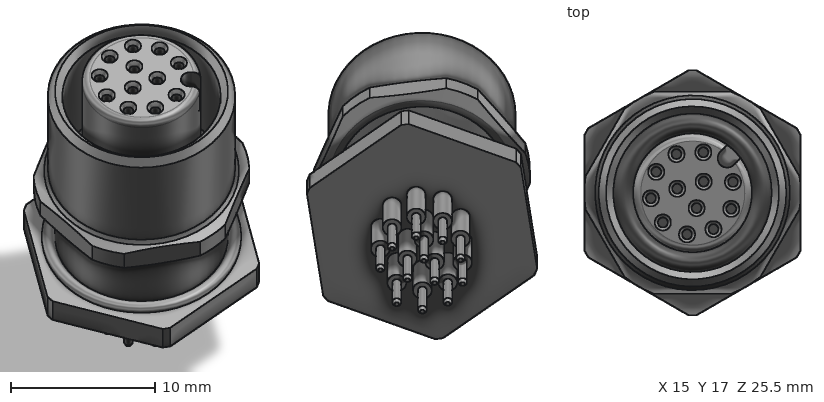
import cadquery as cq
import math

TIP_HEIGHT = 0.3
SLEEVE_BOTTOM = 3.14
FLANGE_BOTTOM = 6.35
FLANGE_TOP = 8.36
NUT_BOTTOM = 13.52
NUT_TOP = 15.48
SHELL_TOP = 24.0
INSERT_TOP = 25.5
BORE_BOTTOM = NUT_TOP

FLANGE_FLATS = 15.0
FLANGE_CORNERS = 17.0

NUT_FLATS = 14.0
NUT_CORNERS = FLANGE_FLATS
NUT_CHAMFER_ANGLE = 15.0
COLLAR_HEIGHT = 0.25

NECK_DIAMETER = 12.0
SHELL_DIAMETER = 13.0
BORE_DIAMETER = 11.0
FLANGE_SEAL_WIDTH = 0.92

INSERT_DIAMETER = 8.24
INSERT_FILLET = 0.5
KEYWAY_WIDTH = 1.3
KEYWAY_CENTER = 3.4
KEYWAY_DEPTH = 2.55
KEYWAY_ANGLE = 45.0

OUTER_ROW_RADIUS = 2.9
OUTER_ROW_COUNT = 9
OUTER_ROW_PITCH = 37.5
INNER_ROW_RADIUS = 1.1
INNER_ROW_COUNT = 3
SLEEVE_DIAMETER = 1.3
PIN_DIAMETER = 0.6
TIP_DIAMETER = 0.3
SOCKET_DIAMETER = 0.7
SOCKET_MOUTH_DIAMETER = 1.12
SOCKET_MOUTH_DEPTH = 0.35
SOCKET_DEPTH = 2.55


def cylinder(diameter, bottom, top):
    return cq.Workplane("XY").workplane(offset=bottom).circle(diameter / 2).extrude(top - bottom)


def hexagon(across_flats, bottom, top, turn):
    """Hexagonal prism; at zero turn its corners lie on the X axis."""
    across_corners = across_flats / math.cos(math.pi / 6)
    prism = cq.Workplane("XY").workplane(offset=bottom).polygon(6, across_corners).extrude(top - bottom)
    return prism.rotate((0, 0, 0), (0, 0, 1), turn)


def polar(radius, angle):
    return (radius * math.cos(math.radians(angle)), radius * math.sin(math.radians(angle)))


def contact_points():
    opposite = KEYWAY_ANGLE + 180
    first = opposite - OUTER_ROW_PITCH * (OUTER_ROW_COUNT - 1) / 2
    outer = [polar(OUTER_ROW_RADIUS, first + i * OUTER_ROW_PITCH) for i in range(OUTER_ROW_COUNT)]
    inner_pitch = 360 / INNER_ROW_COUNT
    inner = [polar(INNER_ROW_RADIUS, KEYWAY_ANGLE + i * inner_pitch) for i in range(INNER_ROW_COUNT)]
    return outer + inner


def make_flange():
    corner_limit = cylinder(FLANGE_CORNERS, FLANGE_BOTTOM, FLANGE_TOP)
    return hexagon(FLANGE_FLATS, FLANGE_BOTTOM, FLANGE_TOP, 30).intersect(corner_limit)


def make_bead(inner, outer, level):
    """Ring with a half-round top, lying on a flat face."""
    height = (outer - inner) / 2
    profile = (
        cq.Workplane("XZ")
        .moveTo(inner, level)
        .threePointArc((inner + height, level + height), (outer, level))
        .close()
    )
    return profile.revolve(360, (0, 0, 0), (0, 1, 0))


def make_flange_seal():
    inner = NECK_DIAMETER / 2
    return make_bead(inner, inner + FLANGE_SEAL_WIDTH, FLANGE_TOP)


def make_bore_seal():
    """Seal that fills the bottom of the space between insert and bore."""
    return make_bead(INSERT_DIAMETER / 2, BORE_DIAMETER / 2, BORE_BOTTOM)


def make_nut():
    """Nut with shallow conical faces that run out at the shell below and the collar above."""
    shell = SHELL_DIAMETER / 2
    collar = shell + COLLAR_HEIGHT
    rim = NUT_CORNERS / 2
    slope = math.tan(math.radians(NUT_CHAMFER_ANGLE))
    turned = (
        cq.Workplane("XZ")
        .polyline([
            (0, NUT_BOTTOM),
            (shell, NUT_BOTTOM),
            (rim, NUT_BOTTOM + (rim - shell) * slope),
            (rim, NUT_TOP - (rim - collar) * slope),
            (collar, NUT_TOP),
            (shell, NUT_TOP + COLLAR_HEIGHT),
            (0, NUT_TOP + COLLAR_HEIGHT),
        ])
        .close()
        .revolve(360, (0, 0, 0), (0, 1, 0))
    )
    return hexagon(NUT_FLATS, NUT_BOTTOM, NUT_TOP + COLLAR_HEIGHT, 0).intersect(turned)


def make_shell():
    """Shell with a sharp rim, formed by equal chamfers on the outside and in the bore."""
    rim_chamfer = (SHELL_DIAMETER - BORE_DIAMETER) / 4
    neck = cylinder(NECK_DIAMETER, FLANGE_BOTTOM, NUT_BOTTOM)
    barrel = cylinder(SHELL_DIAMETER, NUT_BOTTOM, SHELL_TOP)
    outline = [
        (SHELL_DIAMETER / 2, SHELL_TOP - rim_chamfer),
        (SHELL_DIAMETER / 2, SHELL_TOP),
        (BORE_DIAMETER / 2, SHELL_TOP),
        (BORE_DIAMETER / 2, SHELL_TOP - rim_chamfer),
        (BORE_DIAMETER / 2 + rim_chamfer, SHELL_TOP),
    ]
    rim_cut = cq.Workplane("XZ").polyline(outline).close().revolve(360, (0, 0, 0), (0, 1, 0))
    return neck.union(barrel).cut(rim_cut)


def make_bore():
    return cylinder(BORE_DIAMETER, BORE_BOTTOM, SHELL_TOP)


def make_insert():
    return cylinder(INSERT_DIAMETER, BORE_BOTTOM, INSERT_TOP).faces(">Z").edges().fillet(INSERT_FILLET)


def make_keyway():
    """Round-ended slot, open at the side of the insert."""
    floor = INSERT_TOP - KEYWAY_DEPTH
    length = INSERT_DIAMETER / 2 - KEYWAY_CENTER
    rounded_end = cylinder(KEYWAY_WIDTH, floor, INSERT_TOP).translate((KEYWAY_CENTER, 0, 0))
    channel = (
        cq.Workplane("XY")
        .workplane(offset=floor)
        .center(KEYWAY_CENTER + length / 2, 0)
        .rect(length, KEYWAY_WIDTH)
        .extrude(KEYWAY_DEPTH)
    )
    return rounded_end.union(channel).rotate((0, 0, 0), (0, 0, 1), KEYWAY_ANGLE)


def make_pin():
    """Pin hanging from a sleeve, both on the Z axis."""
    sleeve = cylinder(SLEEVE_DIAMETER, SLEEVE_BOTTOM, FLANGE_BOTTOM)
    shank = cylinder(PIN_DIAMETER, TIP_HEIGHT, SLEEVE_BOTTOM)
    tip = cq.Workplane("XY").circle(TIP_DIAMETER / 2).workplane(offset=TIP_HEIGHT)
    tip = tip.circle(PIN_DIAMETER / 2).loft(ruled=True)
    return sleeve.union(shank).union(tip)


def make_socket():
    """Blind hole with a tapered mouth, on the Z axis."""
    mouth_bottom = INSERT_TOP - SOCKET_MOUTH_DEPTH
    hole = cylinder(SOCKET_DIAMETER, INSERT_TOP - SOCKET_DEPTH, INSERT_TOP)
    mouth = cq.Workplane("XY").workplane(offset=mouth_bottom).circle(SOCKET_DIAMETER / 2)
    mouth = mouth.workplane(offset=SOCKET_MOUTH_DEPTH).circle(SOCKET_MOUTH_DIAMETER / 2).loft(ruled=True)
    return hole.union(mouth)


result = make_shell().union(make_flange()).union(make_flange_seal()).union(make_nut())
result = result.cut(make_bore()).union(make_bore_seal())
result = result.union(make_insert()).cut(make_keyway())

pin = make_pin()
socket = make_socket()
for x, y in contact_points():
    result = result.union(pin.translate((x, y, 0)))
    result = result.cut(socket.translate((x, y, 0)))